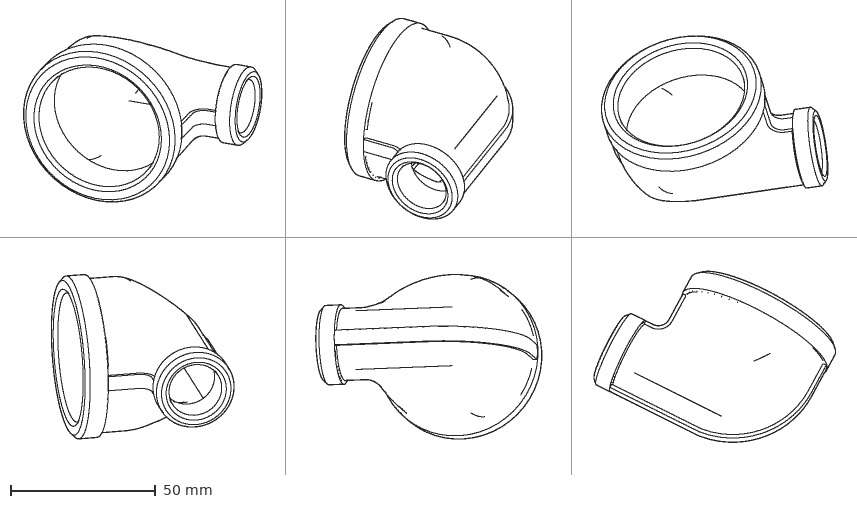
import cadquery as cq
import math

LENGTH_X = 69.85
DEPTH_Y = 49.7

LARGE_COLLAR_R = 56.5 / 2
LARGE_COLLAR_LENGTH = 7.9
LARGE_BODY_R = 53.5 / 2
LARGE_BORE_R = 44.85 / 2
LARGE_BORE_DEPTH = 15.4

SMALL_COLLAR_R = 27.5 / 2
SMALL_COLLAR_LENGTH = 6.85
SMALL_BODY_R = 25.0 / 2
SMALL_BORE_R = 18.65 / 2
SMALL_BORE_DEPTH = 12.6

COLLAR_CHAMFER = 1.5
COLLAR_ROOT_FILLET = 0.5
BORE_CHAMFER = 1.3
BORE_OVERLAP = 0.7

BEND_START_Y = 18.9
ROOF_ROUND = 8.65
THROAT_FILLET = 5.4
TUBE_GAP = 0.01
CAVITY_R = 48.7 / 2
WALL = LARGE_BODY_R - CAVITY_R

RIB_HEIGHT = SMALL_COLLAR_R - SMALL_BODY_R
RIB_WIDTH = 5.2

SMALL_AXIS_Y = DEPTH_Y - SMALL_COLLAR_R
SMALL_END_X = LENGTH_X - LARGE_COLLAR_R
SMALL_COLLAR_X = SMALL_END_X - SMALL_COLLAR_LENGTH

FAR = 139.7
HUB_R = 4.2
BEND_FROM = -80
BEND_TO = 110

PIPE_OFFSET_Y = SMALL_AXIS_Y - BEND_START_Y
ROOF_ANGLE = (
    math.acos(SMALL_BODY_R / math.hypot(PIPE_OFFSET_Y, LARGE_BODY_R))
    - math.atan2(PIPE_OFFSET_Y, LARGE_BODY_R)
)

PIVOT_X = SMALL_AXIS_Y + SMALL_BODY_R - BEND_START_Y - LARGE_BODY_R


def between_roofs(inset):
    """Wedge along X between the two sloping flats."""
    tip_y = SMALL_AXIS_Y + (SMALL_BODY_R - inset) / math.sin(ROOF_ANGLE)
    half_height = (tip_y + FAR) * math.tan(ROOF_ANGLE)
    corners = [(tip_y, 0), (-FAR, half_height), (-FAR, -half_height)]
    return cq.Workplane("YZ", origin=(-FAR, 0, 0)).polyline(corners).close().extrude(2 * FAR)


def with_roofs(blank, inset, edge_types):
    """Cut the sloping flats on a blank and round their curved edges."""
    solid = blank.intersect(between_roofs(inset))
    roofs = [
        face for face in solid.faces("%PLANE").vals()
        if abs(abs(face.normalAt().z) - math.cos(ROOF_ANGLE)) < 0.01
    ]
    edges = [edge for roof in roofs for edge in roof.Edges() if edge.geomType() in edge_types]
    return solid.newObject(edges).fillet(ROOF_ROUND - inset)


def small_pipe(inset, start_x):
    """Small pipe from start_x to the back of its collar."""
    radius = SMALL_BODY_R - inset - TUBE_GAP
    pipe = cq.Workplane("YZ", origin=(start_x, 0, 0)).center(SMALL_AXIS_Y, 0).circle(radius)
    return pipe.extrude(SMALL_COLLAR_X - start_x)


def branch_blank(inset):
    """Straight large pipe with the small pipe branching off, filleted into each other."""
    large_pipe = cq.Workplane("XZ").circle(LARGE_BODY_R - inset).extrude(-FAR)
    pipes = large_pipe.union(small_pipe(inset, 0))
    throat = [edge for edge in pipes.edges("%BSPLINE").vals() if edge.BoundingBox().xmin > 0]
    return pipes.newObject(throat).fillet(THROAT_FILLET + inset)


def bend_blank(inset):
    """Large pipe turned about the pivot, with the hub left out."""
    large_r = LARGE_BODY_R - inset
    hub_x = PIVOT_X - HUB_R
    hub_z = math.sqrt(large_r**2 - hub_x**2)
    section = (
        cq.Workplane("XZ", origin=(0, BEND_START_Y, 0))
        .moveTo(hub_x, -hub_z)
        .threePointArc((-large_r, 0), (hub_x, hub_z))
        .close()
    )
    turned = section.revolve(BEND_TO - BEND_FROM, (PIVOT_X, 0.7, 0), (PIVOT_X, 0, 0))
    return turned.rotate((PIVOT_X, BEND_START_Y, 0), (PIVOT_X, BEND_START_Y, 1), -BEND_FROM)


def bend_zone():
    """Region of the bend: past its start and past the cross-section where the roundings meet."""
    corner = cq.Workplane("XY").box(FAR, FAR, 2 * FAR, centered=(False, False, True))
    corner = corner.translate((PIVOT_X - FAR, BEND_START_Y, 0))
    hub = cq.Workplane("XY", origin=(PIVOT_X, BEND_START_Y, 0)).circle(HUB_R).extrude(FAR, both=True)
    path_r = LARGE_BODY_R - ROOF_ROUND
    path_z = (SMALL_BODY_R - ROOF_ROUND + PIPE_OFFSET_Y * math.sin(ROOF_ANGLE)) / math.cos(ROOF_ANGLE)
    centre = cq.Vector(-math.sqrt(path_r**2 - path_z**2), BEND_START_Y, path_z)
    radial = cq.Vector(centre.x, 0, centre.z)
    roof_normal = cq.Vector(0, math.sin(ROOF_ANGLE), math.cos(ROOF_ANGLE))
    section_plane = cq.Plane(centre, radial, radial.cross(roof_normal))
    beyond = cq.Workplane(section_plane).rect(2 * FAR, 2 * FAR).extrude(FAR)
    return corner.intersect(beyond).intersect(beyond.mirror("XY")).cut(hub)


def up_to_flat_end(inset):
    """Block reaching to the line where the flats touch the small pipe."""
    flat_end_y = SMALL_AXIS_Y + (SMALL_BODY_R - inset) * math.sin(ROOF_ANGLE)
    return cq.Workplane("XY").box(2 * FAR, 2 * flat_end_y, 2 * FAR)


def join_pipes(branch, bend, inset):
    """Whole elbow from its straight and bent parts, the far side rounded like the small pipe."""
    near = up_to_flat_end(inset)
    zone = bend_zone()
    bend = bend.intersect(zone)
    whole = branch.intersect(near).cut(zone).union(bend.intersect(near))
    cap = bend.intersect(small_pipe(inset, -LARGE_BODY_R))
    return whole.union(cap).union(small_pipe(inset, PIVOT_X))


def elbow(inset):
    """Elbow body with sloping flats, its surface moved inwards by inset."""
    upper = cq.Workplane("XY").box(2 * FAR, 2 * FAR, FAR, centered=(True, True, False))
    branch = with_roofs(branch_blank(inset).intersect(upper), inset, ("ELLIPSE", "BSPLINE"))
    branch = branch.intersect(up_to_flat_end(inset)).intersect(upper)
    branch = branch.union(branch.mirror("XY"))
    bend = with_roofs(bend_blank(inset), inset, ("BSPLINE",))
    return join_pipes(branch, bend, inset)


def seam_rib():
    """Slice of a slightly larger elbow, standing proud of the body at mid height."""
    inset = -RIB_HEIGHT
    slab = cq.Workplane("XY").box(2 * FAR, 2 * FAR, RIB_WIDTH)
    return join_pipes(branch_blank(inset), bend_blank(inset), inset).intersect(slab)


def collar(body_r, collar_r, length):
    """Collar on the Z axis, mouth at z = 0, rounded into the pipe behind it."""
    root = COLLAR_ROOT_FILLET
    sag = root * (1 - math.sqrt(0.5))
    return (
        cq.Workplane("XZ")
        .lineTo(collar_r - COLLAR_CHAMFER, 0)
        .lineTo(collar_r, COLLAR_CHAMFER)
        .lineTo(collar_r, length)
        .lineTo(body_r + root, length)
        .threePointArc((body_r + sag, length + sag), (body_r, length + root))
        .lineTo(0, length + root)
        .close()
        .revolve(360, (0, 0, 0), (0, 1, 0))
    )


def bore(radius, depth):
    """Bore on the Z axis with a chamfered mouth at z = 0."""
    return (
        cq.Workplane("XZ")
        .lineTo(radius + BORE_CHAMFER, 0)
        .lineTo(radius, BORE_CHAMFER)
        .lineTo(radius, depth)
        .lineTo(0, depth)
        .close()
        .revolve(360, (0, 0, 0), (0, 1, 0))
    )


def at_large_port(solid):
    return solid.rotate((0, 0, 0), (1, 0, 0), -90)


def at_small_port(solid):
    return solid.rotate((0, 0, 0), (0, 1, 0), -90).translate((SMALL_END_X, SMALL_AXIS_Y, 0))


def behind_large_port(distance):
    """Block holding everything further than distance from the large mouth."""
    block = cq.Workplane("XY").box(2 * FAR, FAR, 2 * FAR, centered=(True, False, True))
    return block.translate((0, distance, 0))


def behind_small_port(distance):
    """Block holding everything further than distance from the small mouth."""
    block = cq.Workplane("XY").box(FAR, FAR, FAR)
    return block.translate((SMALL_END_X - distance - FAR / 2, 0, 0))


outer = elbow(0).union(seam_rib())
outer = outer.intersect(behind_large_port(LARGE_COLLAR_LENGTH / 2))
outer = outer.union(at_large_port(collar(LARGE_BODY_R, LARGE_COLLAR_R, LARGE_COLLAR_LENGTH)))
outer = outer.union(at_small_port(collar(SMALL_BODY_R, SMALL_COLLAR_R, SMALL_COLLAR_LENGTH)))

cavity_span = behind_large_port(LARGE_BORE_DEPTH).intersect(behind_small_port(SMALL_BORE_DEPTH))
cavity = elbow(WALL).intersect(cavity_span)

result = outer.cut(cavity)
result = result.cut(at_large_port(bore(LARGE_BORE_R, LARGE_BORE_DEPTH + BORE_OVERLAP)))
result = result.cut(at_small_port(bore(SMALL_BORE_R, SMALL_BORE_DEPTH + BORE_OVERLAP)))